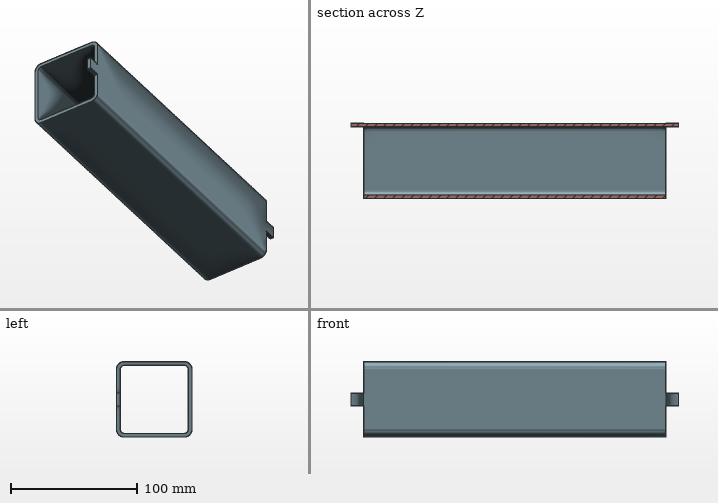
import cadquery as cq

overall_length = 260.0
tube_length = 240.0
tube_side = 60.0
wall = 3.0
outer_radius = 6.2
tab_height = 10.1

inner_side = tube_side - 2 * wall
inner_radius = outer_radius - wall


def rounded_bar(side, radius):
    """Square bar along X with rounded long edges."""
    return cq.Workplane("XY").box(tube_length, side, side).edges("|X").fillet(radius)


tube = rounded_bar(tube_side, outer_radius).cut(rounded_bar(inner_side, inner_radius))

wall_center_y = (tube_side - wall) / 2
tab_strip = (
    cq.Workplane("XY")
    .box(overall_length, wall, tab_height)
    .translate((0, wall_center_y, 0))
)

result = tube.union(tab_strip)